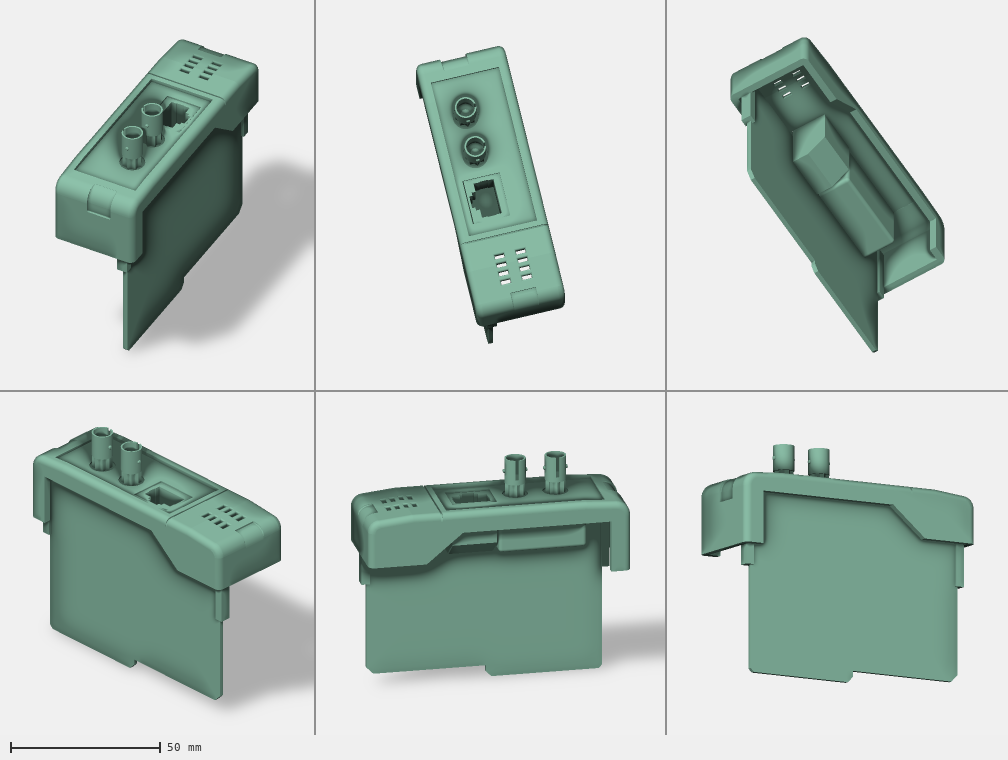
import cadquery as cq
import math

LENGTH = 90.0
WIDTH = 30.5
TOP_Z = 68.3
EDGE_RADIUS = 2.2
BACK_KINK_Y = 29.8
FRONT_KINK_Y = -30.0
BACK_CORNER_Z = 66.8
FRONT_CORNER_Z = 67.3
BACK_CORNER_RADIUS = 4.1
FRONT_CORNER_RADIUS = 4.95
SIDE_WALL = 2.4
END_WALL = 2.4

BACK_BOTTOM_Z = 50.85
FRONT_BOTTOM_Z = 43.3
ARCH_TOP_Z = 61.2
ARCH_RAMP_BOTTOM_Y = 25.2
ARCH_RAMP_TOP_Y = 12.7
LEG_INNER_Y = -38.2

RECESS_WIDTH = 23.5
RECESS_BACK_Y = 17.8
RECESS_FRONT_Y = -36.8
RECESS_DEPTH = 1.35
PANEL_FRONT_Y = -31.5
PANEL_THICKNESS = 0.5
PANEL_TOP_Z = TOP_Z - RECESS_DEPTH
PANEL_BOTTOM_Z = PANEL_TOP_Z - PANEL_THICKNESS
ROOF = RECESS_DEPTH + PANEL_THICKNESS

GROOVE_BACK_Y = 20.25
GROOVE_WIDTH = 0.6
GROOVE_DEPTH = 0.5

WINDOW_COLUMNS_X = (-4.0, 3.3)
WINDOW_ROWS = 4
WINDOW_BACK_Y = 35.8
WINDOW_PITCH = 3.0
WINDOW_LENGTH = 3.2
WINDOW_HEIGHT = 1.35
WINDOW_ROUNDING = 0.5

CLIP_WIDTH = 8.9
BACK_CLIP_DEPTH = 0.5
FRONT_CLIP_DEPTH = 0.9
CLIP_BEVEL = 0.3
CLIP_BOTTOM_Z = 59.2
BACK_CLIP_X = -1.6
BACK_CLIP_TOP_Y = 39.9
FRONT_CLIP_X = 2.2
FRONT_CLIP_TOP_Y = -39.8

BOARD_X = 9.0
BOARD_THICKNESS = 1.5
BOARD_BACK_Y = 40.7
BOARD_FRONT_Y = -40.3
BOARD_TOP_Z = 62.9
BOARD_STEP_Y = -0.4
BOARD_STEP_Z = 4.05
BOARD_BACK_CHAMFER = 2.4
BOARD_STEP_CHAMFER = 1.9
BOARD_FRONT_CHAMFER = 1.3

GUIDE_WIDTH = 3.7
GUIDE_BOTTOM_Z = 36.5
GUIDE_DEPTH = 2.9

JACK_LEFT_X = -3.5
JACK_CENTRE_Y = 6.1
JACK_LENGTH = 15.3
JACK_BOTTOM_Z = 47.1
JACK_RAMP_TOP_Z = 52.4
JACK_RAMP_X = 3.1
JACK_WINDOW_RIGHT_X = 9.4
SOCKET_DEPTH = 10.8
SOCKET_LEFT_X = -1.0
SOCKET_HALF = 6.0
SOCKET_BODY_X = 5.85
LATCH_HALF = 3.15
LATCH_X = 7.2
LATCH_TIP_HALF = 2.1
LATCH_TIP_X = 8.3
BUMP_LEFT_X = 0.9
BUMP_RIGHT_X = 3.8
BUMP_HALF = 6.2

BARREL_X = 3.1
BARREL_BACK_Y = -9.1
BARREL_PITCH = 13.9
BARREL_COUNT = 2
BARREL_TOP_Z = 79.7
BARREL_BOTTOM_Z = 71.1
BARREL_RADIUS = 3.6
BORE_RADIUS = 3.1
FUNNEL_RADIUS = 1.5
FUNNEL_DEPTH = BORE_RADIUS - FUNNEL_RADIUS
KEYWAY_WIDTH = 1.2
KEYWAY_DEPTH = 7.1
NECK_TIP_RADIUS = 3.4
PEG_RADIUS = 0.675
PEG_CHAMFER = 0.225
PEG_REACH = 4.1
PEG_Z = 75.3
BARREL_HOLE_RADIUS = 4.3

TRANSCEIVER_LEFT_X = -2.8
TRANSCEIVER_BACK_Y = -2.3
TRANSCEIVER_FRONT_Y = -32.4
TRANSCEIVER_BOTTOM_Z = 48.2
TRANSCEIVER_CLEARANCE = 0.2
TRANSCEIVER_TOP_Z = PANEL_BOTTOM_Z - TRANSCEIVER_CLEARANCE
TRANSCEIVER_FILLET = 1.2


def block(x0, x1, y0, y1, z0, z1):
    """Box between two opposite corners."""
    size = (x1 - x0, y1 - y0, z1 - z0)
    return cq.Workplane("XY").box(*size, centered=False).translate((x0, y0, z0))


def side_slab(points, x0, x1):
    """Prism along X with an outline given as (y, z) points."""
    return cq.Workplane("YZ").polyline(points).close().extrude(x1 - x0).translate((x0, 0, 0))


def end_slope(kink_y, corner_y, corner_z):
    """Fall of the top, per unit of length, between a kink and its end wall."""
    return (TOP_Z - corner_z) / abs(corner_y - kink_y)


def envelope(width, inset):
    """Housing silhouette, moved inward by `inset`, as a prism along X with rounded end corners."""
    back_y = LENGTH / 2 - inset
    front_y = -back_y
    back_fall = end_slope(BACK_KINK_Y, LENGTH / 2, BACK_CORNER_Z) * (back_y - BACK_KINK_Y)
    front_fall = end_slope(FRONT_KINK_Y, -LENGTH / 2, FRONT_CORNER_Z) * (FRONT_KINK_Y - front_y)
    top_z = TOP_Z - inset
    outline = [
        (front_y, FRONT_BOTTOM_Z),
        (back_y, FRONT_BOTTOM_Z),
        (back_y, top_z - back_fall),
        (BACK_KINK_Y, top_z),
        (FRONT_KINK_Y, top_z),
        (front_y, top_z - front_fall),
    ]
    body = side_slab(outline, -width / 2, width / 2)
    body = body.edges("|X").edges(">Y").edges(">Z").fillet(BACK_CORNER_RADIUS - inset)
    return body.edges("|X").edges("<Y").edges(">Z").fillet(FRONT_CORNER_RADIUS - inset)


def lower_cutout():
    """Everything below the stepped lower edge of the housing."""
    below = FRONT_BOTTOM_Z - 0.9
    outline = [
        (LENGTH, BACK_BOTTOM_Z),
        (ARCH_RAMP_BOTTOM_Y, BACK_BOTTOM_Z),
        (ARCH_RAMP_TOP_Y, ARCH_TOP_Z),
        (LEG_INNER_Y, ARCH_TOP_Z),
        (LEG_INNER_Y, below),
        (LENGTH, below),
    ]
    return side_slab(outline, -WIDTH, WIDTH)


def groove_cutter():
    """Shallow cross groove whose floor repeats the rounded top edges."""
    front_y = GROOVE_BACK_Y - GROOVE_WIDTH
    limits = (front_y, GROOVE_BACK_Y)
    above = block(-WIDTH, WIDTH, *limits, ARCH_TOP_Z, TOP_Z + 0.9)
    core = block(-WIDTH / 2, WIDTH / 2, *limits, ARCH_TOP_Z, TOP_Z - GROOVE_DEPTH)
    core = core.edges("|Y and >Z").fillet(EDGE_RADIUS)
    beside = block(-WIDTH, WIDTH, *limits, ARCH_TOP_Z, TOP_Z - GROOVE_DEPTH - EDGE_RADIUS)
    return above.cut(beside).cut(core)


def window_positions():
    """Centres of the light windows."""
    rows = [WINDOW_BACK_Y - row * WINDOW_PITCH for row in range(WINDOW_ROWS)]
    return [(x, y) for x in WINDOW_COLUMNS_X for y in rows]


def flared_prism(size, plane, length):
    """Prism whose section is a slot of width `size` opening out, quarter-round, at height 0."""
    half = size / 2
    mouth = half + WINDOW_ROUNDING
    bend = WINDOW_ROUNDING * (1 - math.sqrt(0.5))
    return (
        cq.Workplane(plane)
        .moveTo(-half, -2 * ROOF)
        .lineTo(half, -2 * ROOF)
        .lineTo(half, -WINDOW_ROUNDING)
        .threePointArc((half + bend, -bend), (mouth, 0))
        .lineTo(mouth, 0.9)
        .lineTo(-mouth, 0.9)
        .lineTo(-mouth, 0)
        .threePointArc((-half - bend, -bend), (-half, -WINDOW_ROUNDING))
        .close()
        .extrude(length, both=True)
    )


def window_cutter():
    """Light window with rounded mouth edges that meet in mitred corners."""
    across = flared_prism(WINDOW_LENGTH, "XZ", 2 * WINDOW_LENGTH)
    along = flared_prism(WINDOW_HEIGHT, "YZ", 2 * WINDOW_LENGTH)
    return across.intersect(along)


def cut_windows(body):
    """Light windows through the roof, tilted to lie square to the sloping part of the top."""
    cutter = window_cutter()
    fall = end_slope(BACK_KINK_Y, LENGTH / 2, BACK_CORNER_Z)
    tilted_cutter = cutter.rotate((0, 0, 0), (1, 0, 0), -math.degrees(math.atan(fall)))
    for x, y in window_positions():
        if y - WINDOW_HEIGHT / 2 > BACK_KINK_Y:
            body = body.cut(tilted_cutter.translate((x, y, TOP_Z - fall * (y - BACK_KINK_Y))))
        else:
            body = body.cut(cutter.translate((x, y, TOP_Z)))
    return body


def clip_cutter(x, top_y, end_y, floor_shift):
    """Finger recess with bevelled sides; its floor is the rounded end moved by `floor_shift`."""
    y0, y1 = sorted((top_y, end_y))
    region = block(x - CLIP_WIDTH / 2, x + CLIP_WIDTH / 2, y0, y1, CLIP_BOTTOM_Z, TOP_Z + 0.9)
    band = region.cut(envelope(WIDTH, 0).translate(floor_shift))
    return band.faces("<X or >X").chamfer(CLIP_BEVEL)


def board_guide(inner_y, wall_y):
    """Upright bar on an end wall that holds one edge of the board."""
    y0, y1 = sorted((inner_y, wall_y))
    centre_x = BOARD_X + BOARD_THICKNESS / 2
    x0 = centre_x - GUIDE_WIDTH / 2
    return block(x0, x0 + GUIDE_WIDTH, y0, y1, GUIDE_BOTTOM_Z, BOARD_TOP_Z)


def make_housing(board):
    """Hollow cover, open below, with the board guides inside its end walls."""
    body = envelope(WIDTH, 0)
    body = body.faces("<X or >X").edges("not <Z").fillet(EDGE_RADIUS)

    cavity_end = LENGTH / 2 - END_WALL
    cavity = envelope(WIDTH - 2 * SIDE_WALL, ROOF)
    cavity = cavity.intersect(block(-WIDTH, WIDTH, -cavity_end, cavity_end, 0, TOP_Z))
    body = body.cut(cavity).cut(lower_cutout())

    half_recess = RECESS_WIDTH / 2
    body = body.cut(block(-half_recess, half_recess, RECESS_FRONT_Y, RECESS_BACK_Y, PANEL_TOP_Z, TOP_Z))
    body = body.cut(block(-half_recess, half_recess, PANEL_FRONT_Y, RECESS_BACK_Y, ARCH_TOP_Z, TOP_Z))
    body = body.cut(groove_cutter())

    body = cut_windows(body)
    back_end = LENGTH / 2 + 0.9
    body = body.cut(clip_cutter(BACK_CLIP_X, BACK_CLIP_TOP_Y, back_end, (0, 0, -BACK_CLIP_DEPTH)))
    body = body.cut(clip_cutter(FRONT_CLIP_X, FRONT_CLIP_TOP_Y, -back_end, (0, FRONT_CLIP_DEPTH, 0)))

    body = body.union(board_guide(cavity_end - GUIDE_DEPTH, cavity_end))
    body = body.union(board_guide(GUIDE_DEPTH - cavity_end, -cavity_end))
    return body.cut(board)


def make_panel():
    """Thin plate in the recess with openings for the jack and the two barrels."""
    half_width = RECESS_WIDTH / 2
    plate = block(-half_width, half_width, PANEL_FRONT_Y, RECESS_BACK_Y, PANEL_BOTTOM_Z, PANEL_TOP_Z)
    half_jack = JACK_LENGTH / 2
    jack_opening = block(
        JACK_LEFT_X,
        JACK_WINDOW_RIGHT_X,
        JACK_CENTRE_Y - half_jack,
        JACK_CENTRE_Y + half_jack,
        PANEL_BOTTOM_Z,
        PANEL_TOP_Z,
    )
    barrel_holes = (
        cq.Workplane("XY", origin=(0, 0, PANEL_BOTTOM_Z))
        .pushPoints([(BARREL_X, y) for y in barrel_positions()])
        .circle(BARREL_HOLE_RADIUS)
        .extrude(PANEL_THICKNESS)
    )
    return plate.cut(jack_opening).cut(barrel_holes)


def make_board():
    """Flat board with a stepped, chamfered lower edge."""
    outline = [
        (BOARD_BACK_Y, BOARD_TOP_Z),
        (BOARD_BACK_Y, BOARD_STEP_Z + BOARD_BACK_CHAMFER),
        (BOARD_BACK_Y - BOARD_BACK_CHAMFER, BOARD_STEP_Z),
        (BOARD_STEP_Y, BOARD_STEP_Z),
        (BOARD_STEP_Y, BOARD_STEP_CHAMFER),
        (BOARD_STEP_Y - BOARD_STEP_CHAMFER, 0),
        (BOARD_FRONT_Y + BOARD_FRONT_CHAMFER, 0),
        (BOARD_FRONT_Y, BOARD_FRONT_CHAMFER),
        (BOARD_FRONT_Y, BOARD_TOP_Z),
    ]
    return side_slab(outline, BOARD_X, BOARD_X + BOARD_THICKNESS)


def make_jack():
    """Jack block against the board, with a ramped underside and a stepped socket mouth."""
    outline = [
        (JACK_LEFT_X, PANEL_BOTTOM_Z),
        (JACK_LEFT_X, JACK_RAMP_TOP_Z),
        (JACK_RAMP_X, JACK_BOTTOM_Z),
        (BOARD_X, JACK_BOTTOM_Z),
        (BOARD_X, PANEL_BOTTOM_Z),
    ]
    body = (
        cq.Workplane("XZ")
        .polyline(outline)
        .close()
        .extrude(JACK_LENGTH / 2, both=True)
        .translate((0, JACK_CENTRE_Y, 0))
    )
    half_mouth = [
        (SOCKET_LEFT_X, SOCKET_HALF),
        (BUMP_LEFT_X, SOCKET_HALF),
        (BUMP_LEFT_X, BUMP_HALF),
        (BUMP_RIGHT_X, BUMP_HALF),
        (BUMP_RIGHT_X, SOCKET_HALF),
        (SOCKET_BODY_X, SOCKET_HALF),
        (SOCKET_BODY_X, LATCH_HALF),
        (LATCH_X, LATCH_HALF),
        (LATCH_X, LATCH_TIP_HALF),
        (LATCH_TIP_X, LATCH_TIP_HALF),
    ]
    other_half = [(x, -y) for x, y in reversed(half_mouth)]
    socket = (
        cq.Workplane("XY", origin=(0, JACK_CENTRE_Y, PANEL_BOTTOM_Z))
        .polyline(half_mouth + other_half)
        .close()
        .extrude(-SOCKET_DEPTH)
    )
    return body.cut(socket)


def barrel_positions():
    """Y positions of the barrels."""
    return [BARREL_BACK_Y - i * BARREL_PITCH for i in range(BARREL_COUNT)]


def barrel(y):
    """Bayonet barrel: eight-pointed neck, funnelled bore, keyway toward -X and two pegs."""
    height = BARREL_TOP_Z - BARREL_BOTTOM_Z
    neck_height = BARREL_BOTTOM_Z - TRANSCEIVER_TOP_Z
    tube = cq.Workplane("XY", origin=(0, 0, BARREL_BOTTOM_Z)).circle(BARREL_RADIUS).extrude(height)

    square = (
        cq.Workplane("XY", origin=(0, 0, TRANSCEIVER_TOP_Z))
        .polygon(4, 2 * NECK_TIP_RADIUS)
        .extrude(neck_height)
    )
    neck = square.union(square.rotate((0, 0, 0), (0, 0, 1), 45))

    pegs = (
        cq.Workplane("XZ", origin=(0, 0, PEG_Z))
        .circle(PEG_RADIUS)
        .extrude(PEG_REACH, both=True)
        .faces("<Y or >Y")
        .chamfer(PEG_CHAMFER)
    )
    bore_profile = [
        (0, BARREL_TOP_Z),
        (BORE_RADIUS, BARREL_TOP_Z),
        (BORE_RADIUS, BARREL_BOTTOM_Z + FUNNEL_DEPTH),
        (FUNNEL_RADIUS, BARREL_BOTTOM_Z),
        (0, BARREL_BOTTOM_Z),
    ]
    bore = cq.Workplane("XZ").polyline(bore_profile).close().revolve(360, (0, 0, 0), (0, 1, 0))
    half_key = KEYWAY_WIDTH / 2
    keyway = block(-2 * BARREL_RADIUS, 0, -half_key, half_key, BARREL_TOP_Z - KEYWAY_DEPTH, BARREL_TOP_Z)
    return tube.union(pegs).union(neck).cut(bore).cut(keyway).translate((BARREL_X, y, 0))


def make_transceiver():
    """Rounded transceiver body against the board, carrying both barrels on its top."""
    body = block(
        TRANSCEIVER_LEFT_X,
        BOARD_X,
        TRANSCEIVER_FRONT_Y,
        TRANSCEIVER_BACK_Y,
        TRANSCEIVER_BOTTOM_Z,
        TRANSCEIVER_TOP_Z,
    )
    body = body.edges("(<X or <Z or |Z) and (not >X) and (not >Z)").fillet(TRANSCEIVER_FILLET)
    for y in barrel_positions():
        body = body.union(barrel(y))
    return body


board = make_board()
housing = make_housing(board)
panel = make_panel()
jack = make_jack()
transceiver = make_transceiver()

result = cq.Compound.makeCompound(
    [housing.val(), panel.val(), board.val(), jack.val(), transceiver.val()]
)